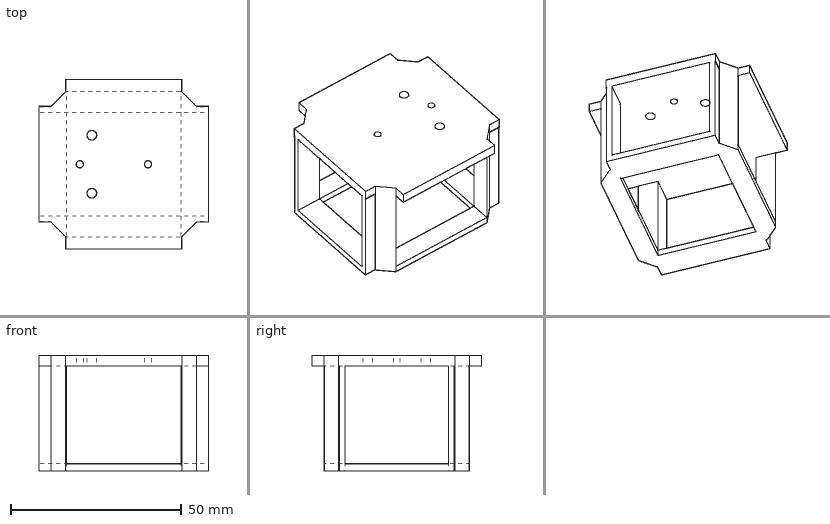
import cadquery as cq

plate_size = 49.8
height = 33.95
plate_thickness = 3.15
rim_height = 2.2
arm_width = 34.05
notch_step = 3.6
frame_depth = plate_size - 2 * notch_step
frame_end_width = 33.75
opening_x = 33.75
opening_y = 30.4
large_hole_diameter = 2.8
large_hole_x = -9.35
large_hole_spacing = 17.05
small_hole_diameter = 2.05
small_hole_positions = [(-12.9, 0), (7.1, 0)]

plate_bottom = height - plate_thickness


def centred_box(x_size, y_size, z_bottom, z_top):
    """Box centred on the Z axis between two levels."""
    return (
        cq.Workplane("XY")
        .workplane(offset=z_bottom)
        .rect(x_size, y_size)
        .extrude(z_top - z_bottom)
    )


def notched_block():
    """Full-height square block with a slanted step in every corner."""
    outer = plate_size / 2
    arm = arm_width / 2
    step = outer - notch_step
    block = centred_box(plate_size, plate_size, 0, height)
    for x_sign in (-1, 1):
        for y_sign in (-1, 1):
            notch = [(arm, outer), (arm, step), (step, arm), (outer, arm), (outer, outer)]
            points = [(x_sign * x, y_sign * y) for x, y in notch]
            block = block.cut(cq.Workplane("XY").polyline(points).close().extrude(height))
    return block


def frame_limits():
    """Envelope of the plate and of the shallower frame beneath it."""
    plate = centred_box(plate_size, plate_size, plate_bottom, height)
    core = centred_box(frame_depth, frame_depth, 0, plate_bottom)
    ends = centred_box(plate_size, frame_end_width, 0, plate_bottom)
    return plate.union(core).union(ends)


def openings():
    """Cavity open at the bottom, with a window through each pair of sides."""
    cavity = centred_box(opening_x, opening_y, 0, plate_bottom)
    side_windows = centred_box(plate_size, opening_y, rim_height, plate_bottom)
    front_windows = centred_box(opening_x, plate_size, rim_height, plate_bottom)
    return cavity.union(side_windows).union(front_windows)


def plate_holes(diameter, positions):
    """Vertical cylinders for holes through the top plate."""
    return (
        cq.Workplane("XY")
        .workplane(offset=plate_bottom)
        .pushPoints(positions)
        .circle(diameter / 2)
        .extrude(plate_thickness)
    )


large_hole_positions = [(large_hole_x, side * large_hole_spacing / 2) for side in (-1, 1)]

result = (
    notched_block()
    .intersect(frame_limits())
    .cut(openings())
    .cut(plate_holes(large_hole_diameter, large_hole_positions))
    .cut(plate_holes(small_hole_diameter, small_hole_positions))
)